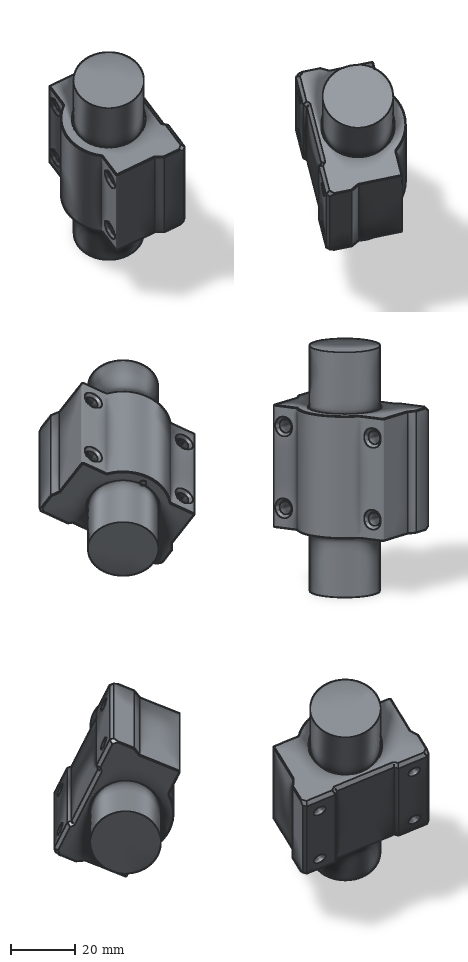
import cadquery as cq
import math

shaft_diameter = 22.0
shaft_length = 78.0
bore_diameter = 23.0
bore_recess_depth = 1.0

block_length = 39.0
barrel_radius = 15.0
mounting_face_y = 15.0
flat_face_y = -9.5
upper_half_width = 22.0
lower_half_width = 20.5
step_top_y = 7.0
step_angle = 30.0

relief_depth = 1.0
relief_half_width = 10.0
mounting_corner_chamfer = 1.0

barrel_corner_fillet = 0.7
flat_corner_fillet = 0.5
end_bevel = 0.3
mounting_end_bevel = 1.2
mounting_end_bevel_angle = 45.0

hole_pitch_x = 33.0
hole_pitch_z = 26.0
clearance_diameter = 4.3
tapped_diameter = 4.13
tapped_depth = 12.0
countersink_diameter = 6.3
countersink_angle = 90.0

boss_diameter = 2.0
boss_height = 0.2
boss_y = -12.2

step_bottom_y = step_top_y - (upper_half_width - lower_half_width) / math.tan(math.radians(step_angle))
barrel_corner_x = math.sqrt(barrel_radius**2 - flat_face_y**2)
relief_y = mounting_face_y - relief_depth
relief_edge_x = relief_half_width + relief_depth
mounting_edge_x = upper_half_width - mounting_corner_chamfer
mounting_corner_y = mounting_face_y - mounting_corner_chamfer


def mirrored(points):
    """The same points on the -X side, in reverse order."""
    return [(-x, y) for x, y in reversed(points)]


mounting_half = [
    (mounting_edge_x, mounting_face_y),
    (relief_edge_x, mounting_face_y),
    (relief_half_width, relief_y),
]


def block_prism():
    """Block outline over its full length, with its long edges rounded."""
    right_side = [
        (barrel_corner_x, flat_face_y),
        (lower_half_width, flat_face_y),
        (lower_half_width, step_bottom_y),
        (upper_half_width, step_top_y),
        (upper_half_width, mounting_corner_y),
    ] + mounting_half
    prism = (
        cq.Workplane("XY")
        .polyline(right_side + mirrored(right_side))
        .threePointArc((0, -barrel_radius), right_side[0])
        .close()
        .extrude(block_length / 2, both=True)
    )
    for side in (-1, 1):
        prism = fillet_long_edge(prism, side * barrel_corner_x, barrel_corner_fillet)
        prism = fillet_long_edge(prism, side * lower_half_width, flat_corner_fillet)
    return prism


def fillet_long_edge(solid, x, radius):
    """Round the edge along Z where the flat front face ends at x."""
    edge = solid.edges(cq.NearestToPointSelector((x, flat_face_y, 0)))
    return edge.fillet(radius)


def mounting_end_envelope():
    """Oversize body that bevels only the mounting face edges of the two ends."""
    reach = 2 * upper_half_width
    corner_run = (mounting_edge_x + reach, mounting_face_y - reach)
    right_side = [corner_run] + mounting_half
    outline = right_side + mirrored(right_side)
    straight_half = block_length / 2 - mounting_end_bevel
    middle = cq.Workplane("XY").polyline(outline).close().extrude(straight_half, both=True)
    cap = (
        cq.Workplane("XY")
        .workplane(offset=straight_half)
        .polyline(outline)
        .close()
        .extrude(mounting_end_bevel, taper=mounting_end_bevel_angle)
    )
    return middle.union(cap).union(cap.mirror("XY"))


def cut_mounting_holes(block):
    """Four holes: countersunk from the front, tapped from the mounting face."""
    centres = [
        (side * hole_pitch_x / 2, end * hole_pitch_z / 2) for side in (-1, 1) for end in (-1, 1)
    ]
    clearance_depth = mounting_face_y - tapped_depth - flat_face_y
    block = (
        block.copyWorkplane(cq.Workplane("XZ", origin=(0, flat_face_y, 0)))
        .pushPoints(centres)
        .cskHole(clearance_diameter, countersink_diameter, countersink_angle, clearance_depth)
    )
    tapped = (
        cq.Workplane("XZ", origin=(0, mounting_face_y, 0))
        .pushPoints(centres)
        .circle(tapped_diameter / 2)
        .extrude(tapped_depth)
    )
    return block.cut(tapped)


def cut_bore_recesses(block):
    """Clearance ring around the shaft at each end of the block."""
    recess = (
        cq.Workplane("XY")
        .workplane(offset=block_length / 2 - bore_recess_depth)
        .circle(bore_diameter / 2)
        .extrude(bore_recess_depth)
    )
    return block.cut(recess).cut(recess.mirror("XY"))


def end_boss():
    """Low round boss standing out of the -Z end of the block."""
    return (
        cq.Workplane("XY")
        .workplane(offset=-block_length / 2)
        .center(0, boss_y)
        .circle(boss_diameter / 2)
        .extrude(-boss_height)
    )


block = block_prism()
block = block.faces("<Z or >Z").chamfer(end_bevel)
block = block.intersect(mounting_end_envelope())
block = cut_mounting_holes(block)
block = cut_bore_recesses(block)
block = block.union(end_boss())

shaft = cq.Workplane("XY").circle(shaft_diameter / 2).extrude(shaft_length / 2, both=True)
result = block.union(shaft)